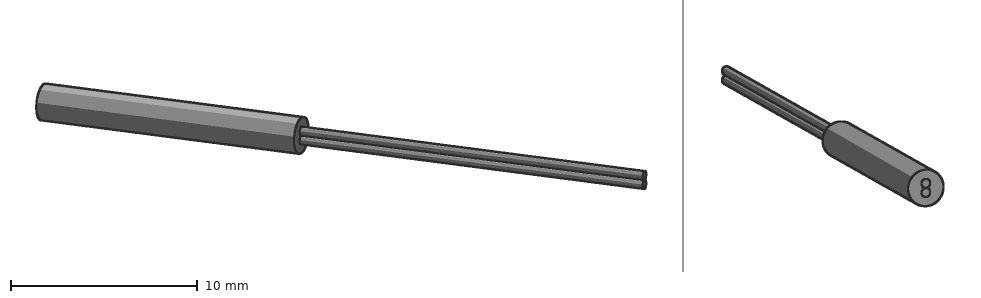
import cadquery as cq

total_length = 35.0
sleeve_length = 15.0
sleeve_diameter = 2.0
wire_diameter = 0.5
wire_gap = 0.01

wire_pitch = wire_diameter + wire_gap
wire_heights = [-wire_pitch / 2, wire_pitch / 2]


def rod(diameter, length, height=0.0):
    """Round rod along +X from the plane X = 0, with its axis at Z = height."""
    return cq.Workplane("YZ").center(0, height).circle(diameter / 2).extrude(length)


def make_wire(height):
    """Wire that runs through the sleeve, flush with its end at X = 0."""
    return rod(wire_diameter, total_length, height)


def make_sleeve():
    """Cylindrical sleeve with one through hole for each wire."""
    sleeve = rod(sleeve_diameter, sleeve_length)
    for height in wire_heights:
        sleeve = sleeve.cut(rod(wire_diameter, sleeve_length, height))
    return sleeve


sleeve = make_sleeve()
wires = [make_wire(height) for height in wire_heights]

result = cq.Compound.makeCompound([sleeve.val(), *[wire.val() for wire in wires]])